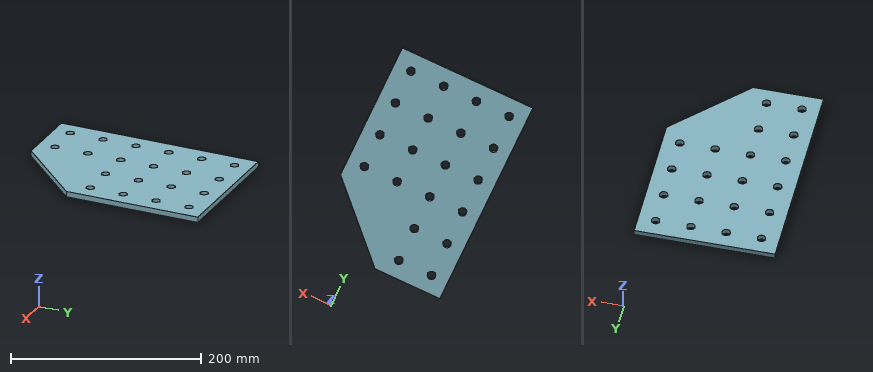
import cadquery as cq

length = 228.5
rows = 6
columns = 4
thickness = 6.5
hole_diameter = 8.7

pitch = length / rows
width = columns * pitch
corner_cells = 2
corner_cut = corner_cells * pitch


def plate():
    """Flat plate with its +X, -Y corner clipped at 45 degrees."""
    outline = [
        (0, 0),
        (width - corner_cut, 0),
        (width, corner_cut),
        (width, length),
        (0, length),
    ]
    return cq.Workplane("XY").polyline(outline).close().extrude(thickness)


def hole_centres():
    """Cell centres, leaving out the cells touched by the clipped corner."""
    centres = []
    for row in range(rows):
        row_columns = columns - corner_cells if row < corner_cells else columns
        for column in range(row_columns):
            centres.append(((column + 0.5) * pitch, (row + 0.5) * pitch))
    return centres


holes = (
    cq.Workplane("XY")
    .pushPoints(hole_centres())
    .circle(hole_diameter / 2)
    .extrude(thickness)
)

result = plate().cut(holes)